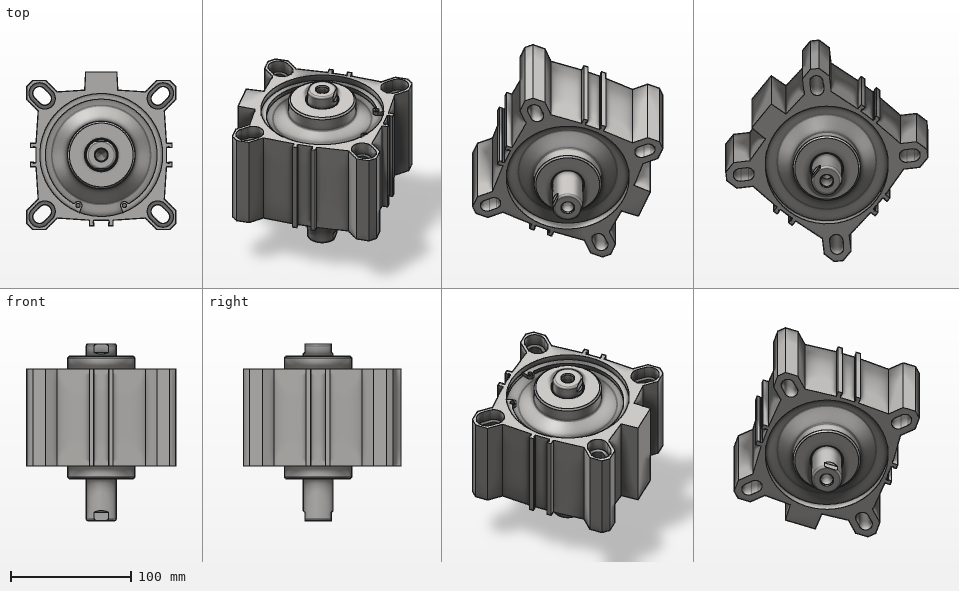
import cadquery as cq
import math


housing_height = 80.8
lug_half_span = 62.0
lug_corner_chamfer = 5.1
lug_face_end = 46.2
wall_half_width = 54.2
wall_end = 36.6
rib_outer_half = 9.8

port_boss_y = 69.0
port_boss_tip_half = 13.1
port_boss_root_half = 13.8

rib_tip = 59.0
rib_root = wall_half_width - 1.5
slot_half_width = 6.0
slot_root_half_width = 6.3
slot_groove_half_width = 6.8
slot_groove_inner = 55.5
slot_groove_outer = 56.3

slot_outer_center = 51.3
slot_inner_center = 46.9
slot_width = 11.0
counterbore_width = 17.5
counterbore_depth = 11.0

piston_bore_diameter = 100.0
head_diameter = 102.2
ring_outer_diameter = 106.1
ring_depth = 5.3
ring_thickness = 3.5
flange_depth = ring_depth + ring_thickness
flange_thickness = 17.6
seat_depth = flange_depth + flange_thickness

cone_base_diameter = 82.0
cone_top_depth = 1.9
collar_diameter = 56.0
collar_height = 10.6
collar_chamfer = 1.5
root_fillet = 1.0
rod_mouth_diameter = 28.0
wiper_recess_diameter = 26.9
wiper_recess_depth = 1.5
wiper_lip_diameter = 25.6
wiper_lip_depth = 2.4

ring_inner_diameter = 92.9
ear_hole_diameter = 3.5
ear_radius = 3.2
ear_x = 19.3
ear_y = -41.9
ear_fillet = 1.3

rod_diameter = 25.0
rod_length = 147.0
rod_bottom = -45.4
rod_end_fillet = 1.8
across_flats = 22.0
flat_length = 7.0
thread_diameter = 10.1
thread_mouth_diameter = 11.5
thread_mouth_depth = 1.2
thread_depth = 22.0
drill_point_angle = 118.0


def wall_outline():
    """Outline of the housing without port boss and ribs, built from one quarter."""
    wall_corner = lug_half_span - lug_face_end + wall_end
    lug_chamfer_start = lug_half_span - lug_corner_chamfer
    half_quarter = [
        (wall_half_width, rib_outer_half),
        (wall_corner, wall_end),
        (lug_half_span, lug_face_end),
        (lug_half_span, lug_chamfer_start),
    ]
    quarter = half_quarter + [(y, x) for x, y in reversed(half_quarter)]
    points = []
    for cosine, sine in [(1, 0), (0, 1), (-1, 0), (0, -1)]:
        points += [(x * cosine - y * sine, x * sine + y * cosine) for x, y in quarter]
    return points


def port_boss():
    return (
        cq.Workplane("XY")
        .polyline([
            (-port_boss_root_half, 0),
            (port_boss_root_half, 0),
            (port_boss_root_half, wall_half_width),
            (port_boss_tip_half, port_boss_y),
            (-port_boss_tip_half, port_boss_y),
            (-port_boss_root_half, wall_half_width),
        ])
        .close()
        .extrude(housing_height)
    )


def sensor_rib(wall_angle, side):
    """One rib on the wall that faces wall_angle; side is +1 or -1 across that wall."""
    return (
        cq.Workplane("XY")
        .polyline([
            (rib_root, side * rib_outer_half),
            (rib_tip, side * rib_outer_half),
            (rib_tip, side * slot_half_width),
            (slot_groove_outer, side * slot_half_width),
            (slot_groove_outer, side * slot_groove_half_width),
            (slot_groove_inner, side * slot_groove_half_width),
            (slot_groove_inner, side * slot_root_half_width),
            (rib_root, side * slot_root_half_width),
        ])
        .close()
        .extrude(housing_height)
        .rotate((0, 0, 0), (0, 0, 1), wall_angle)
    )


def lug_slot(angle, width, bottom, top):
    middle = (slot_outer_center + slot_inner_center) / 2 * math.sqrt(2)
    travel = (slot_outer_center - slot_inner_center) * math.sqrt(2)
    return (
        cq.Workplane("XY")
        .workplane(offset=bottom)
        .center(middle, 0)
        .slot2D(travel + width, width)
        .extrude(top - bottom)
        .rotate((0, 0, 0), (0, 0, 1), angle)
    )


def disc(diameter, bottom, top):
    return cq.Workplane("XY").workplane(offset=bottom).circle(diameter / 2).extrude(top - bottom)


def make_housing():
    body = cq.Workplane("XY").polyline(wall_outline()).close().extrude(housing_height)
    body = body.union(port_boss())
    for wall_angle in (0, 180, 270):
        for side in (1, -1):
            body = body.union(sensor_rib(wall_angle, side))

    for angle in (45, 135, 225, 315):
        body = body.cut(lug_slot(angle, slot_width, 0, housing_height))
        body = body.cut(
            lug_slot(angle, counterbore_width, housing_height - counterbore_depth, housing_height)
        )

    body = body.cut(disc(piston_bore_diameter, 0, housing_height))
    body = body.cut(disc(head_diameter, 0, seat_depth))
    body = body.cut(disc(head_diameter, housing_height - seat_depth, housing_height))
    ring_top = housing_height - ring_depth
    return body.cut(disc(ring_outer_diameter, ring_top - ring_thickness, ring_top))


def circle_at(diameter, height):
    """Selector for the circular edge of a turned part with this diameter and height."""
    margin = 0.1
    reach = diameter / 2 + margin
    return cq.selectors.BoxSelector(
        (-reach, -reach, height - margin), (reach, reach, height + margin), boundingbox=True
    )


def make_head():
    """Upper head: flange in the bore, cone and collar, with the rod hole through it."""
    mouth_chamfer = (rod_mouth_diameter - wiper_recess_diameter) / 2
    head = (
        cq.Workplane("XZ")
        .polyline([
            (rod_diameter / 2, -seat_depth),
            (head_diameter / 2, -seat_depth),
            (head_diameter / 2, -flange_depth),
            (cone_base_diameter / 2, -flange_depth),
            (collar_diameter / 2, -cone_top_depth),
            (collar_diameter / 2, collar_height - collar_chamfer),
            (collar_diameter / 2 - collar_chamfer, collar_height),
            (rod_mouth_diameter / 2, collar_height),
            (wiper_recess_diameter / 2, collar_height - mouth_chamfer),
            (wiper_recess_diameter / 2, collar_height - wiper_recess_depth),
            (wiper_lip_diameter / 2, collar_height - wiper_recess_depth),
            (wiper_lip_diameter / 2, collar_height - wiper_lip_depth),
            (rod_diameter / 2, collar_height - wiper_lip_depth),
        ])
        .close()
        .revolve(360, (0, 0, 0), (0, 1, 0))
    )
    cone_edges = [
        head.edges(circle_at(cone_base_diameter, -flange_depth)).val(),
        head.edges(circle_at(collar_diameter, -cone_top_depth)).val(),
    ]
    return head.newObject(cone_edges).fillet(root_fillet).translate((0, 0, housing_height))


def make_ring():
    """Retaining ring, open toward -Y, with an eared end on each side of the gap."""
    base = housing_height - flange_depth
    ear_center_radius = math.hypot(ear_x, ear_y)
    ear_angle = math.atan2(ear_x, -ear_y)
    gap_half_angle = ear_angle - math.asin(ear_radius / ear_center_radius)
    gap_reach = ring_outer_diameter
    gap_half_width = gap_reach * math.tan(gap_half_angle)

    gap = (
        cq.Workplane("XY")
        .workplane(offset=base)
        .polyline([(0, 0), (-gap_half_width, -gap_reach), (gap_half_width, -gap_reach)])
        .close()
        .extrude(ring_thickness)
    )
    ring = disc(ring_outer_diameter, base, base + ring_thickness)
    ring = ring.cut(disc(ring_inner_diameter, base, base + ring_thickness)).cut(gap)
    ears = cq.Workplane("XY").workplane(offset=base).pushPoints([(ear_x, ear_y), (-ear_x, ear_y)])
    ring = ring.union(ears.circle(ear_radius).extrude(ring_thickness))

    inner_radius = ring_inner_diameter / 2
    corner_cosine = (ear_center_radius**2 + inner_radius**2 - ear_radius**2) / (
        2 * ear_center_radius * inner_radius
    )
    corner_angle = ear_angle + math.acos(corner_cosine)
    for side in (1, -1):
        corner = (
            side * inner_radius * math.sin(corner_angle),
            -inner_radius * math.cos(corner_angle),
            base + ring_thickness / 2,
        )
        ring = ring.edges(cq.NearestToPointSelector(corner)).fillet(ear_fillet)
    return ring.cut(ears.circle(ear_hole_diameter / 2).extrude(ring_thickness))


def threaded_hole():
    """Hole in the upper rod end: countersunk mouth, straight wall and drill point."""
    radius = thread_diameter / 2
    mouth_radius = thread_mouth_diameter / 2
    point_depth = radius / math.tan(math.radians(drill_point_angle / 2))
    top = rod_length / 2
    return (
        cq.Workplane("XZ")
        .polyline([
            (0, top),
            (mouth_radius, top),
            (radius, top - thread_mouth_depth),
            (radius, top - thread_depth),
            (0, top - thread_depth - point_depth),
        ])
        .close()
        .revolve(360, (0, 0, 0), (0, 1, 0))
    )


def wrench_flat(side):
    """Cutter for one flat of the upper rod end, with a 45 degree run-out at its lower edge."""
    top = rod_length / 2
    flat_y = across_flats / 2
    reach = rod_diameter - flat_y
    return (
        cq.Workplane("YZ")
        .polyline([
            (side * flat_y, top),
            (side * flat_y, top - flat_length),
            (side * (flat_y + reach), top - flat_length - reach),
            (side * (flat_y + reach), top),
        ])
        .close()
        .extrude(rod_diameter, both=True)
    )


def make_rod():
    """Rod with the same rounded, flatted and threaded end at the top and the bottom."""
    rod = disc(rod_diameter, -rod_length / 2, rod_length / 2).faces("|Z").edges().fillet(rod_end_fillet)
    for cutter in (threaded_hole(), wrench_flat(1), wrench_flat(-1)):
        rod = rod.cut(cutter).cut(cutter.mirror("XY"))
    return rod.translate((0, 0, rod_bottom + rod_length / 2))


housing = make_housing()
upper_head = make_head()
lower_head = upper_head.mirror("XY", (0, 0, housing_height / 2))
retaining_ring = make_ring()
rod = make_rod()

result = cq.Compound.makeCompound([
    housing.val(),
    upper_head.val(),
    lower_head.val(),
    retaining_ring.val(),
    rod.val(),
])